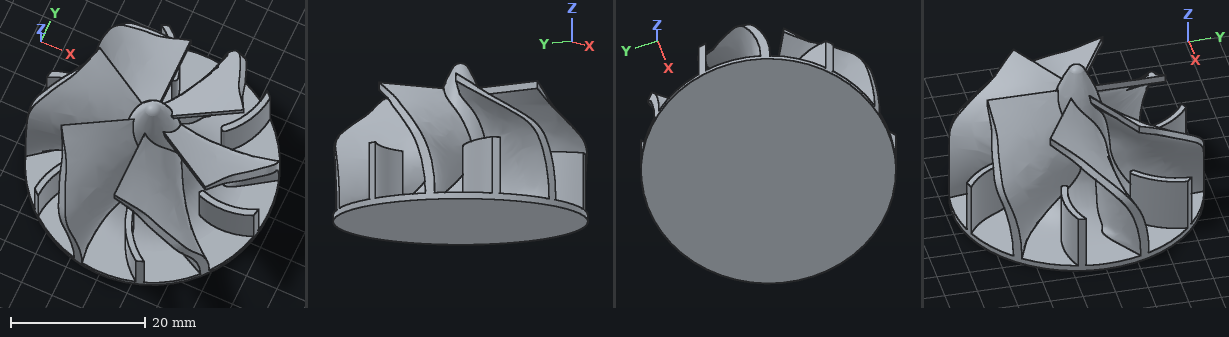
import cadquery as cq
import math

disc_radius = 19.0
disc_top = 1.0
blade_top = 20.0
part_height = 24.0
blade_count = 6
pitch_angle = 360.0 / blade_count

flare_outer_radius = 14.0
flare_arc_radius = 9.1
flare_top = 8.25
nose_base = 18.13
nose_base_radius = 3.4
nose_mid = 21.28
nose_mid_radius = 2.25
dome_base = 23.4
dome_base_radius = 1.15
body_bulge = 0.3

inlet_radius = 13.65
inlet_arc_top = 18.92
shoulder_arc_height = 2.75

foot_height = disc_top / 2

leading_edge_height = 1.15
leading_edge_bottom = blade_top - leading_edge_height
upper_face_stations = [
    (blade_top, 0.0, blade_top, 0.0),
    (18.13, 28.0, 18.62, 9.4),
    (16.2, 53.0, 17.48, 16.5),
    (13.07, 75.0, 15.58, 27.2),
    (10.35, 83.5, 14.05, 34.2),
    (8.25, 82.0, 12.55, 39.6),
    (5.32, 59.0, 10.45, 44.2),
    (3.05, 44.0, 7.03, 48.7),
    (1.9, 41.0, 3.8, 50.7),
    (disc_top, 45.0, disc_top, 51.2),
    (foot_height, 45.0, foot_height, 51.2),
]
lower_face_stations = [
    (leading_edge_bottom, 0.0, leading_edge_bottom, 0.0),
    (18.13, 8.0, 18.3, 3.6),
    (16.2, 31.0, 17.3, 11.0),
    (13.07, 49.5, 15.58, 21.2),
    (10.35, 54.0, 14.05, 29.0),
    (8.25, 50.0, 12.55, 34.8),
    (5.32, 43.0, 10.45, 39.8),
    (3.05, 36.5, 7.03, 44.2),
    (1.9, 36.5, 3.8, 46.3),
    (disc_top, 40.5, disc_top, 46.9),
    (foot_height, 40.5, foot_height, 46.9),
]
blade_overlap = 0.57
first_blade_angle = 30.0

splitter_thickness = 1.0
splitter_top = 9.5
splitter_path = [(-19.38, 3.2), (-13.68, 4.8), (-10.15, 4.25)]


def polar(radius, angle, z):
    a = math.radians(angle)
    return cq.Vector(radius * math.cos(a), radius * math.sin(a), z)


def flare_radius_at(z):
    drop = flare_arc_radius - max(0.0, z - disc_top)
    return flare_outer_radius - math.sqrt(flare_arc_radius**2 - drop**2)


flare_top_radius = flare_radius_at(flare_top)
shoulder_angle = math.radians(45)
shoulder_arc_radius = shoulder_arc_height / math.sin(shoulder_angle)
shoulder_arc_width = shoulder_arc_height * math.tan(shoulder_angle / 2)
shoulder_top = inlet_arc_top - shoulder_arc_height
shoulder_top_radius = inlet_radius + shoulder_arc_width
shoulder_bottom_radius = disc_radius - shoulder_arc_width
shoulder_bottom = shoulder_top - (shoulder_bottom_radius - shoulder_top_radius)
rim_arc_bottom = shoulder_bottom - shoulder_arc_height
body_mid = ((flare_top_radius + nose_base_radius) / 2 + body_bulge, (flare_top + nose_base) / 2)


def hub_radius_at(z):
    if z <= flare_top:
        return flare_radius_at(z)
    t = (z - flare_top) / (nose_base - flare_top)
    chord = flare_top_radius + t * (nose_base_radius - flare_top_radius)
    return chord + 4 * body_bulge * t * (1 - t)


def shroud_radius_at(z):
    arc_radius = shoulder_arc_radius
    if z >= inlet_arc_top:
        return inlet_radius
    if z >= shoulder_top:
        return inlet_radius + arc_radius - math.sqrt(arc_radius**2 - (inlet_arc_top - z) ** 2)
    if z >= shoulder_bottom:
        return shoulder_top_radius + shoulder_top - z
    rise = max(0.0, z - rim_arc_bottom)
    return disc_radius - arc_radius + math.sqrt(arc_radius**2 - rise**2)


def make_hub():
    """Disc, flare, body and nose; the disc is oversize until the envelope trims it."""
    mid = flare_arc_radius * math.sin(math.radians(45))
    flare_mid = (flare_outer_radius - mid, disc_top + flare_arc_radius - mid)
    dome_height = part_height - dome_base
    dome_arc_radius = (dome_base_radius**2 + dome_height**2) / (2 * dome_height)
    dome_mid_radius = dome_base_radius / 2
    dome_mid_z = part_height - dome_arc_radius + math.sqrt(dome_arc_radius**2 - dome_mid_radius**2)
    return (
        cq.Workplane("XZ")
        .lineTo(disc_radius + blade_overlap, 0)
        .lineTo(disc_radius + blade_overlap, disc_top)
        .lineTo(flare_outer_radius, disc_top)
        .threePointArc(flare_mid, (flare_top_radius, flare_top))
        .threePointArc(body_mid, (nose_base_radius, nose_base))
        .threePointArc((nose_mid_radius, nose_mid), (dome_base_radius, dome_base))
        .threePointArc((dome_mid_radius, dome_mid_z), (0, part_height))
        .close()
        .revolve(360, (0, 0, 0), (0, 1, 0))
    )


def make_envelope():
    """Outer limit of the whole wheel, rising past the blades to clear the nose."""
    sag = shoulder_arc_radius * (1 - math.cos(shoulder_angle / 2))
    run = shoulder_arc_radius * math.sin(shoulder_angle / 2)
    return (
        cq.Workplane("XZ")
        .lineTo(disc_radius, 0)
        .lineTo(disc_radius, rim_arc_bottom)
        .threePointArc((disc_radius - sag, rim_arc_bottom + run), (shoulder_bottom_radius, shoulder_bottom))
        .lineTo(shoulder_top_radius, shoulder_top)
        .threePointArc((inlet_radius + sag, inlet_arc_top - run), (inlet_radius, inlet_arc_top))
        .lineTo(inlet_radius, part_height)
        .lineTo(0, part_height)
        .close()
        .revolve(360, (0, 0, 0), (0, 1, 0))
    )


def face_edges(stations):
    """Root and rim curves of a blade face, carried past the hub and the shroud."""
    root = []
    rim = []
    for hub_z, hub_angle, shroud_z, shroud_angle in stations:
        inner = polar(hub_radius_at(hub_z), hub_angle, hub_z)
        outer = polar(shroud_radius_at(shroud_z), shroud_angle, shroud_z)
        along = (outer - inner).normalized()
        depth = blade_overlap + max(0.0, hub_radius_at(hub_z) - flare_top_radius)
        root.append(inner - along * depth)
        rim.append(outer + along * blade_overlap)
    return cq.Edge.makeSpline(root), cq.Edge.makeSpline(rim)


def make_blade():
    """Twisted blade whose leading edge is a vertical face along the X axis."""
    upper_root, upper_rim = face_edges(upper_face_stations)
    lower_root, lower_rim = face_edges(lower_face_stations)
    curves = (upper_root, upper_rim, lower_rim, lower_root)
    leading = cq.Wire.makePolygon([curve.startPoint() for curve in curves], close=True)
    foot = cq.Wire.makePolygon([curve.endPoint() for curve in curves], close=True)
    faces = [
        cq.Face.makeRuledSurface(upper_root, upper_rim),
        cq.Face.makeRuledSurface(lower_root, lower_rim),
        cq.Face.makeRuledSurface(upper_root, lower_root),
        cq.Face.makeRuledSurface(upper_rim, lower_rim),
        cq.Face.makeFromWires(leading),
        cq.Face.makeFromWires(foot),
    ]
    solid = cq.Solid.makeSolid(cq.Shell.makeShell(faces))
    return cq.Workplane(solid.fix())


def make_splitter():
    """Short vane, curved in plan, with its inner end fully rounded."""
    start, middle, end = splitter_path
    return (
        cq.Workplane("XY", origin=(0, 0, foot_height))
        .moveTo(*start)
        .threePointArc(middle, end)
        .offset2D(splitter_thickness / 2)
        .extrude(splitter_top - foot_height)
    )


blade = make_blade().rotate((0, 0, 0), (0, 0, 1), first_blade_angle)
splitter = make_splitter()
impeller = make_hub()
for vane in (blade, splitter):
    for index in range(blade_count):
        impeller = impeller.union(vane.rotate((0, 0, 0), (0, 0, 1), index * pitch_angle))

result = impeller.intersect(make_envelope())